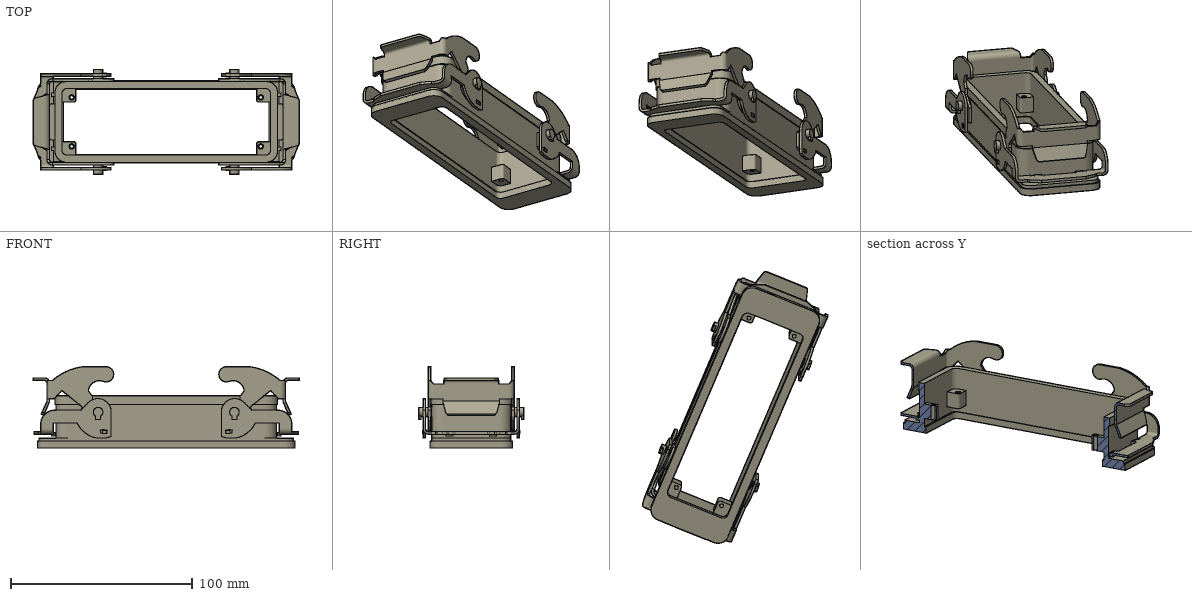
import cadquery as cq
import math

sheet = 1.5
bend_inner = 1.5
bend_outer = bend_inner + sheet

base_half_x, base_half_y, base_top = 71.1, 22.8, 3.8
step_half_x, step_top = 70.3, 5.6
base_radius, step_radius = 5.9, 5.1
wall_half_x, wall_half_y = 60.8, 21.9
collar_half_x, collar_half_y = 61.5, 22.3
collar_bottom, housing_top = 24.1, 29.0
wall_radius = 6.3
cavity_half_x, cavity_half_y = 57.6, 18.4
cavity_radius = 3.0
lip_half_x, lip_half_y, lip_top = 56.6, 18.0, 3.8

post_end_x, post_end_y = 49.8, 10.9
post_bottom, post_top = 8.4, 17.0
post_radius = 1.3
screw_x, screw_y = 52.2, 13.5
screw_radius, screw_chamfer = 1.0, 0.5

pin_x, pin_z, pin_radius = 37.6, 19.8, 2.6
pin_span = 58.0
pin_end_y = pin_span / 2
key_width, key_bottom, key_length = 3.0, 15.9, 1.3

hook_outer_y = collar_half_y + sheet
hook_top = 45.0
handle_x = 65.8
handle_bottom, handle_top, handle_side_top = 27.2, 35.4, 37.3
nose_x, nose_radius = 33.2, 4.3
hub_radius = 10.0
hub_bottom = (-pin_x, pin_z - hub_radius)
hub_front_x, hub_front_bottom = 32.3, 11.3
hub_rear = (-46.3, 15.0)
back_start_x, back_middle, back_end_x = 62.9, (-55.3, 42.3), 46.3
throat_start, throat_middle, throat_end = (-34.7, 36.7), (-40.4, 36.0), (-42.9, 31.6)
neck_x, neck_top, neck_bottom = 40.5, 28.5, 25.0
arm_heel, arm_knee = (-47.0, 21.2), (-46.5, 22.8)
window_apex = (-57.6, 31.7)
cross_plate_end_x = 61.9
tab_tip_x = 73.5
tab_root_y, tab_bend_y, tab_tip_y = 15.3, 14.5, 12.8
tab_corner = 1.5
tab_bend_rise = 0.5
skirt_bend_z, skirt_tip_z, skirt_tip_x = 25.5, 18.4, 69.1
skirt_root_y, skirt_low_y, skirt_tip_y = 15.7, 14.1, 12.8
skirt_corner_z = 19.7

bracket_outer_y = 26.6
bracket_end_x = 69.4
plate_end_x = 30.4
plate_bottom = step_top
plate_corner_x, plate_corner_z = 2.6, 0.9
lobe_start, lobe_top, lobe_end_z = (-42.9, 25.3), 27.3, 20.9
belly_start_x, belly_middle, belly_end_x = 38.4, (-44.5, 8.2), 49.1
arm_root_x = 47.2
arm_bottom, arm_top = 13.8, 21.0
arm_inner_x = 62.3
arm_bend_radius = 8.0
web_bottom, turn_up_top = 7.6, 12.3
web_tip_x, web_tip_y = 73.0, 12.8
web_shoulder_x, web_shoulder_y, web_corner_y = 70.5, 19.8, 18.8
foot_inner_x, foot_bottom, foot_top = 61.1, 6.6, 8.7
foot_start_y, foot_end_y = 10.0, 14.0
relief_x, relief_end_y = 63.2, 15.9
notch_x, notch_corner = 64.7, 1.0
slot_x, slot_z, slot_width, slot_height = 34.5, 9.3, 3.5, 1.8

stub_x, stub_z, stub_width, stub_height = 34.1, 9.0, 2.0, 1.8
stub_start_y, stub_end_y = 24.7, 26.9


def block(x0, x1, y0, y1, z0, z1):
    """Box between two opposite corners."""
    return cq.Workplane("XY").box(x1 - x0, y1 - y0, z1 - z0, centered=False).translate((x0, y0, z0))


def rounded_slab(half_x, half_y, radius, bottom, top):
    """Centred slab with rounded vertical corners."""
    slab = cq.Workplane("XY").workplane(offset=bottom).rect(2 * half_x, 2 * half_y)
    return slab.extrude(top - bottom).edges("|Z").fillet(radius)


def slab_y(centre_x, centre_z, width, height, y0, y1):
    """Box running from y0 to y1, centred on a point of the XZ plane."""
    return along_y(cq.Workplane("XZ").center(centre_x, centre_z).rect(width, height), y0, y1)


def both_y(shape):
    """The shape together with its mirror image across the XZ plane."""
    return shape.union(shape.mirror("XZ"))


def both_x(shape):
    """The shape together with its mirror image across the YZ plane."""
    return shape.union(shape.mirror("YZ"))


def along_y(profile, y0, y1):
    """Extrude a closed XZ profile from y0 to y1."""
    return profile.extrude(y0 - y1).translate((0, y0, 0))


def housing():
    body = rounded_slab(base_half_x, base_half_y, base_radius, 0, base_top)
    body = body.union(rounded_slab(step_half_x, wall_half_y, step_radius, base_top, step_top))
    body = body.union(rounded_slab(wall_half_x, wall_half_y, wall_radius, step_top, collar_bottom))
    body = body.union(rounded_slab(collar_half_x, collar_half_y, wall_radius, collar_bottom, housing_top))
    body = body.cut(rounded_slab(cavity_half_x, cavity_half_y, cavity_radius, lip_top, housing_top))
    return body.cut(rounded_slab(lip_half_x, lip_half_y, cavity_radius, 0, lip_top))


def screw_posts():
    post = block(-cavity_half_x, -post_end_x, post_end_y, cavity_half_y, post_bottom, post_top)
    post = post.edges("|Z and >X and <Y").fillet(post_radius)
    hole = cq.Workplane("XY").center(-screw_x, screw_y).circle(screw_radius).extrude(post_top)
    countersink = cq.Solid.makeCone(
        screw_radius, screw_radius + screw_chamfer, screw_chamfer,
        pnt=cq.Vector(-screw_x, screw_y, post_top - screw_chamfer),
    )
    return both_x(both_y(post.cut(hole).cut(countersink)))


def pivot_pin():
    """Pin from the housing wall outwards, with a key at its outer end."""
    inner_y = wall_half_y - sheet
    pin = along_y(cq.Workplane("XZ").center(-pin_x, pin_z).circle(pin_radius), inner_y, pin_end_y)
    half_key = key_width / 2
    key = block(-pin_x - half_key, -pin_x + half_key, pin_end_y - key_length, pin_end_y, key_bottom, pin_z)
    return both_y(pin.union(key))


def hook_outline():
    """Side outline of the lever, from the cross plate to the hook nose and the pivot hub."""
    nose_z = hook_top - nose_radius
    return (
        cq.Workplane("XZ")
        .moveTo(-handle_x, handle_bottom)
        .lineTo(-handle_x, handle_side_top)
        .lineTo(-back_start_x, handle_side_top)
        .threePointArc(back_middle, (-back_end_x, hook_top))
        .lineTo(-nose_x, hook_top)
        .threePointArc((-nose_x + nose_radius, nose_z), (-nose_x, nose_z - nose_radius))
        .lineTo(*throat_start)
        .threePointArc(throat_middle, throat_end)
        .lineTo(-neck_x, neck_top)
        .lineTo(-neck_x, neck_bottom)
        .lineTo(-hub_front_x, pin_z)
        .lineTo(-hub_front_x, hub_front_bottom)
        .threePointArc(hub_bottom, hub_rear)
        .lineTo(*arm_heel)
        .lineTo(*arm_knee)
        .lineTo(*window_apex)
        .lineTo(-cross_plate_end_x, handle_bottom)
        .close()
    )


def handle_tab():
    """Tab bent outwards from the top of the cross plate."""
    inner_x = handle_x - sheet
    bend_x = handle_x + bend_inner
    bend_z = handle_top + tab_bend_rise
    diagonal = math.sqrt(0.5)
    profile = (
        cq.Workplane("XZ")
        .moveTo(-inner_x, handle_bottom)
        .lineTo(-inner_x, bend_z)
        .threePointArc(
            (-bend_x + bend_outer * diagonal, bend_z + bend_outer * diagonal), (-bend_x, bend_z + bend_outer)
        )
        .lineTo(-tab_tip_x, bend_z + bend_outer)
        .lineTo(-tab_tip_x, bend_z + bend_inner)
        .lineTo(-bend_x, bend_z + bend_inner)
        .threePointArc((-bend_x + bend_inner * diagonal, bend_z + bend_inner * diagonal), (-handle_x, bend_z))
        .lineTo(-handle_x, handle_bottom)
        .close()
    )
    strip = along_y(profile, -tab_root_y, tab_root_y)
    plan = [
        (-inner_x, -tab_root_y),
        (-inner_x, tab_root_y),
        (-bend_x, tab_bend_y),
        (-tab_tip_x, tab_tip_y),
        (-tab_tip_x, -tab_tip_y),
        (-bend_x, -tab_bend_y),
    ]
    trim = cq.Workplane("XY").polyline(plan).close().extrude(hook_top)
    return strip.intersect(trim.edges("|Z and <X").fillet(tab_corner))


def handle_skirt():
    """Skirt below the cross plate, sloping outwards and narrowing to its lower edge."""
    inner_x = handle_x - sheet
    profile = [
        (-handle_x, handle_bottom),
        (-inner_x, handle_bottom),
        (-inner_x, skirt_bend_z),
        (-skirt_tip_x + sheet, skirt_tip_z - sheet / 4),
        (-skirt_tip_x, skirt_tip_z + sheet / 4),
        (-handle_x, skirt_bend_z + sheet / 4),
    ]
    strip = along_y(cq.Workplane("XZ").polyline(profile).close(), -skirt_root_y, skirt_root_y)
    right_side = [
        (skirt_root_y, handle_bottom),
        (skirt_root_y, skirt_bend_z),
        (skirt_low_y, skirt_corner_z),
        (skirt_tip_y, skirt_tip_z - sheet / 4),
    ]
    left_side = [(-y, z) for y, z in reversed(right_side)]
    face = cq.Workplane("YZ").polyline(right_side + left_side).close().extrude(-tab_tip_x)
    return strip.intersect(face)


def locking_lever():
    """U-shaped lever: two hooks joined by a cross plate with a tab and a skirt."""
    outer = block(-handle_x, 0, -hook_outer_y, hook_outer_y, 0, hook_top)
    outer = outer.edges("|Z and <X").fillet(bend_outer)
    inner = block(-handle_x + sheet, 0, -collar_half_y, collar_half_y, 0, hook_top)
    inner = inner.edges("|Z and <X").fillet(bend_inner)
    lever = outer.cut(inner).intersect(along_y(hook_outline(), -hook_outer_y, hook_outer_y))
    dip_y = hook_outer_y - bend_outer
    dip = [
        (-dip_y - sheet, hook_top),
        (-dip_y - sheet, handle_side_top),
        (-dip_y, handle_top),
        (dip_y, handle_top),
        (dip_y + sheet, handle_side_top),
        (dip_y + sheet, hook_top),
    ]
    dip_cut = cq.Workplane("YZ").workplane(offset=-handle_x).polyline(dip).close().extrude(2 * bend_outer)
    return lever.cut(dip_cut).union(handle_tab()).union(handle_skirt())


def bracket_outline():
    """Side outline of a bracket plate: pivot lobe with an arm that turns down to the base plate."""
    return (
        cq.Workplane("XZ")
        .moveTo(-bracket_end_x, turn_up_top)
        .lineTo(-bracket_end_x, arm_top - arm_bend_radius)
        .radiusArc((-bracket_end_x + arm_bend_radius, arm_top), arm_bend_radius)
        .lineTo(-arm_root_x, arm_top)
        .lineTo(*lobe_start)
        .threePointArc((-pin_x, lobe_top), (-plate_end_x, lobe_end_z))
        .lineTo(-plate_end_x, plate_bottom + plate_corner_z)
        .lineTo(-plate_end_x - plate_corner_x, plate_bottom)
        .lineTo(-belly_start_x, plate_bottom)
        .threePointArc(belly_middle, (-belly_end_x, arm_bottom))
        .lineTo(-arm_inner_x, arm_bottom)
        .lineTo(-arm_inner_x, turn_up_top)
        .close()
    )


def bracket_web():
    """Base plate of the bracket, bent up at both sides, with a tapered front edge."""
    hollow_y = bracket_outer_y - sheet
    ends = (-bracket_end_x, -arm_inner_x)
    channel = block(*ends, -bracket_outer_y, bracket_outer_y, web_bottom, turn_up_top)
    channel = channel.edges("|X and <Z").fillet(bend_outer)
    hollow = block(*ends, -hollow_y, hollow_y, web_bottom + sheet, turn_up_top)
    hollow = hollow.edges("|X and <Z").fillet(bend_inner)
    front = [
        (-bracket_end_x, web_shoulder_y),
        (-web_shoulder_x, web_corner_y),
        (-web_tip_x, web_tip_y),
        (-web_tip_x, -web_tip_y),
        (-web_shoulder_x, -web_corner_y),
        (-bracket_end_x, -web_shoulder_y),
    ]
    lip = cq.Workplane("XY").workplane(offset=web_bottom).polyline(front).close().extrude(sheet)
    return channel.cut(hollow).union(lip)


def web_notch():
    """Cut-outs in the inner edge of the base plate: a wide notch and the bend reliefs of the feet."""
    notch = block(-notch_x, -foot_inner_x, -foot_start_y, foot_start_y, web_bottom, web_bottom + sheet)
    notch = notch.edges("|Z and <X").chamfer(notch_corner)
    relief = block(-relief_x, -foot_inner_x, foot_end_y, relief_end_y, web_bottom, web_bottom + sheet)
    return notch.union(both_y(relief))


def lower_bracket():
    hollow_y = bracket_outer_y - sheet
    side = along_y(bracket_outline(), hollow_y, bracket_outer_y)
    side = side.cut(slab_y(-slot_x, slot_z, slot_width, slot_height, hollow_y, bracket_outer_y))
    side = side.union(slab_y(-stub_x, stub_z, stub_width, stub_height, stub_start_y, stub_end_y))
    foot = block(-relief_x, -foot_inner_x, foot_start_y, foot_end_y, foot_bottom, foot_top)
    return both_y(side.union(foot)).union(bracket_web()).cut(web_notch())


end_hardware = pivot_pin().union(locking_lever()).union(lower_bracket())
result = housing().union(screw_posts()).union(both_x(end_hardware))